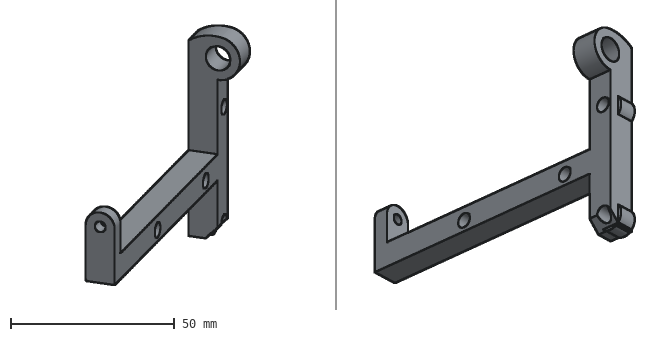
import cadquery as cq
import math

total_length = 99.45
bar_width = 9.5

ear_radius = 4.5
ear_width = 6.2
ear_hole_diameter = 4.9
ear_y = total_length - ear_radius
ear_heights = (ear_radius, 42.6)

column_depth = 8.8
column_back = total_length - 1.3
column_front = column_back - column_depth
column_bottom = 0.6
column_chamfer = 4.0
column_shoulder = 65.3
eye_radius = 7.2
eye_hole_diameter = 8.0
eye_x = 16.8 - eye_radius
eye_z = 60.8
blend_offset = 1.1

arm_bottom = 20.4
arm_height = 8.7
arm_edge_chamfer = 0.4
arm_hole_diameter = 4.9
arm_hole_z = 24.3
arm_hole_offsets = (20.4, 62.3)
post_depth = 5.2
post_radius = bar_width / 2
post_hole_diameter = 3.5
post_hole_z = 39.0


def block(y_start, y_end, z_start, z_end):
    """Full-width rectangular bar between the given Y and Z limits."""
    size = (bar_width, y_end - y_start, z_end - z_start)
    return cq.Workplane("XY").box(*size, centered=False).translate((0, y_start, z_start))


def cylinder_y(x, z, radius, y_start, y_end):
    """Cylinder along Y."""
    plane = cq.Workplane("XZ", origin=(x, y_start, z))
    return plane.circle(radius).extrude(y_start - y_end)


def cylinder_x(y, z, radius, length):
    """Cylinder along X starting on the x = 0 face."""
    return cq.Workplane("YZ").center(y, z).circle(radius).extrude(length)


def make_column():
    tilt = math.asin(blend_offset / eye_radius)
    rise = column_shoulder - eye_z
    along = eye_x * math.sin(tilt) - rise * math.cos(tilt)
    center_gap = (eye_x**2 + rise**2 - eye_radius**2) / (2 * (eye_radius + along))
    crown_radius = eye_radius + center_gap
    crown_x = eye_x - center_gap * math.sin(tilt)
    crown_z = eye_z - center_gap * math.cos(tilt)
    start_angle = math.atan2(column_shoulder - crown_z, -crown_x)
    middle_angle = (start_angle + math.pi / 2 - tilt) / 2
    crown_middle = (
        crown_x + crown_radius * math.cos(middle_angle),
        crown_z + crown_radius * math.sin(middle_angle),
    )
    blend = (eye_x + blend_offset, eye_z + eye_radius * math.cos(tilt))

    profile = (
        cq.Workplane("XZ", origin=(0, column_front, 0))
        .moveTo(0, column_bottom)
        .lineTo(0, column_shoulder)
        .threePointArc(crown_middle, blend)
        .lineTo(eye_x, eye_z)
        .lineTo(bar_width, eye_z)
        .lineTo(bar_width, column_bottom + column_chamfer)
        .lineTo(bar_width - column_chamfer, column_bottom)
        .close()
    )
    eye = cylinder_y(eye_x, eye_z, eye_radius, column_front, column_back)
    return profile.extrude(-column_depth).union(eye)


def make_arm():
    arm = block(0, column_front, arm_bottom, arm_bottom + arm_height)
    post = block(0, post_depth, arm_bottom, post_hole_z)
    post_end = cylinder_y(post_radius, post_hole_z, post_radius, 0, post_depth)
    arm = arm.union(post).union(post_end)
    return arm.faces("<X").edges("<Z").chamfer(arm_edge_chamfer)


result = make_column().union(make_arm())
for height in ear_heights:
    result = result.union(cylinder_x(ear_y, height, ear_radius, ear_width))

for height in ear_heights:
    result = result.cut(cylinder_x(ear_y, height, ear_hole_diameter / 2, bar_width))
for offset in arm_hole_offsets:
    hole = cylinder_x(total_length - offset, arm_hole_z, arm_hole_diameter / 2, bar_width)
    result = result.cut(hole)

result = result.cut(cylinder_y(eye_x, eye_z, eye_hole_diameter / 2, column_front, column_back))
result = result.cut(cylinder_y(post_radius, post_hole_z, post_hole_diameter / 2, 0, post_depth))